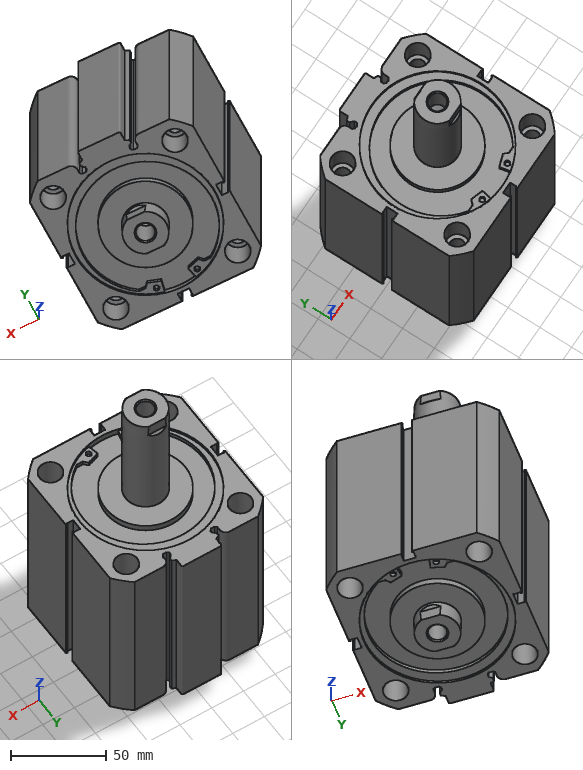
import cadquery as cq
import math

housing_width = 96.5
housing_depth = 102.0
housing_length = 113.0
rod_top_reach = 70.0
rod_bottom_reach = 10.5
corner_circle_diameter = 124.0

rail_width = 25.2
rail_edge_radius = 1.0
groove_floor_y = 41.2
groove_floor_bevel = 1.0
groove_throat_x = 13.0
throat_top_y = 43.7
groove_hook_x = 14.9
hook_bottom_y = 45.5
hook_top_y = 47.2
groove_outer_x = 17.2
groove_flare_radius = 3.9

slot_depth = 4.8
slot_mouth_width = 5.2
slot_inner_width = 6.8
slot_lip = 1.0
slot_mouth_chamfer = 0.4

bore_diameter = 82.0
mount_hole_spacing = 72.0
mount_hole_diameter = 8.7
counterbore_diameter = 13.5
counterbore_depth = 19.4

ring_recess = 1.5
ring_thickness = 2.5
ring_inner_diameter = 75.5
ring_inner_offset = 2.3
lug_hole_x = 12.0
lug_hole_y = -36.0
lug_hole_diameter = 3.0
lug_inner_y = -33.5
lug_tip_x = 15.0
lug_tip_y = -31.2
lug_root_x = 17.2
lug_outer_x = 22.3
lug_gap_x = 8.0
lug_gap_outer_x = 9.5

cover_thickness = 15.5
boss_diameter = 50.0

rod_diameter = 25.0
rod_end_diameter = 24.4
rod_taper_length = 8.3
flat_distance = 22.0
flat_length = 7.2
flat_runout = 2.0
tap_hole_diameter = 10.0
tap_hole_depth = 19.4
tap_chamfer = 0.8
drill_point_angle = 118.0

half_width = housing_width / 2
rail_top_y = housing_depth - half_width
rod_length = rod_bottom_reach + housing_length + rod_top_reach
cover_depth = ring_recess + ring_thickness


def mirrored_end(body):
    """The same shape at the lower end of the housing."""
    return body.mirror("XY", (0, 0, housing_length / 2))


def block():
    """Square block whose corners are rounded by one large circle about the axis."""
    square = cq.Workplane("XY").rect(housing_width, housing_width).extrude(housing_length)
    return square.intersect(cq.Workplane("XY").circle(corner_circle_diameter / 2).extrude(housing_length))


def rail():
    return (
        cq.Workplane("XY")
        .center(0, rail_top_y / 2)
        .rect(rail_width, rail_top_y)
        .extrude(housing_length)
        .edges("|Z and >Y")
        .fillet(rail_edge_radius)
    )


def rail_groove():
    """Groove on the +X side of the rail: a hooked inner wall and a flared outer wall."""
    floor_left = groove_throat_x + groove_floor_bevel
    floor_right = groove_outer_x - groove_floor_bevel
    bevel_top_y = groove_floor_y + groove_floor_bevel
    return (
        cq.Workplane("XY")
        .moveTo(rail_width / 2, rail_top_y)
        .lineTo(rail_width / 2, half_width)
        .lineTo(groove_hook_x, hook_top_y)
        .lineTo(groove_hook_x, hook_bottom_y)
        .lineTo(groove_throat_x, throat_top_y)
        .lineTo(groove_throat_x, bevel_top_y)
        .lineTo(floor_left, groove_floor_y)
        .lineTo(floor_right, groove_floor_y)
        .lineTo(groove_outer_x, bevel_top_y)
        .lineTo(groove_outer_x, half_width - groove_flare_radius)
        .radiusArc((groove_outer_x + groove_flare_radius, half_width), groove_flare_radius)
        .lineTo(groove_outer_x + groove_flare_radius, rail_top_y)
        .close()
        .extrude(housing_length)
    )


def t_slot():
    """T-slot in the -Y side."""
    half_mouth = slot_mouth_width / 2
    half_flare = half_mouth + slot_mouth_chamfer
    mouth = (
        cq.Workplane("XY")
        .polyline([
            (-half_flare, -half_width),
            (half_flare, -half_width),
            (half_mouth, -half_width + slot_mouth_chamfer),
            (half_mouth, -half_width + slot_depth),
            (-half_mouth, -half_width + slot_depth),
            (-half_mouth, -half_width + slot_mouth_chamfer),
        ])
        .close()
        .extrude(housing_length)
    )
    inner_depth = slot_depth - slot_lip
    inner = (
        cq.Workplane("XY")
        .center(0, -half_width + slot_lip + inner_depth / 2)
        .rect(slot_inner_width, inner_depth)
        .extrude(housing_length)
    )
    return mouth.union(inner)


def mounting_holes():
    holes = (
        cq.Workplane("XY")
        .rect(mount_hole_spacing, mount_hole_spacing, forConstruction=True)
        .vertices()
        .circle(mount_hole_diameter / 2)
        .extrude(housing_length)
    )
    counterbores = (
        cq.Workplane("XY", origin=(0, 0, housing_length))
        .rect(mount_hole_spacing, mount_hole_spacing, forConstruction=True)
        .vertices()
        .circle(counterbore_diameter / 2)
        .extrude(-counterbore_depth)
    )
    return holes.union(counterbores).union(mirrored_end(counterbores))


def make_housing():
    body = block().union(rail())
    body = body.cut(rail_groove()).cut(rail_groove().mirror("YZ"))
    for angle in (-90, 0, 90):
        body = body.cut(t_slot().rotate((0, 0, 0), (0, 0, 1), angle))
    bore = cq.Workplane("XY").circle(bore_diameter / 2).extrude(housing_length)
    return body.cut(bore).cut(mounting_holes())


def lug():
    """Lug on the +X side of the ring gap, reaching past the bore so that it can be trimmed."""
    outer_y = -bore_diameter / 2
    return (
        cq.Workplane("XY")
        .polyline([
            (lug_gap_x, lug_inner_y),
            (lug_tip_x, lug_tip_y),
            (lug_root_x, lug_inner_y),
            (lug_outer_x, lug_inner_y),
            (lug_outer_x, outer_y),
            (lug_gap_outer_x, outer_y),
        ])
        .close()
        .extrude(ring_thickness)
    )


def make_ring():
    """Open retaining ring with two drilled lugs, at the upper end of the housing."""
    disc = cq.Workplane("XY").circle(bore_diameter / 2).extrude(ring_thickness)
    inner = (
        cq.Workplane("XY")
        .center(0, -ring_inner_offset)
        .circle(ring_inner_diameter / 2)
        .extrude(ring_thickness)
    )
    gap = (
        cq.Workplane("XY")
        .center(0, -bore_diameter / 4)
        .rect(2 * lug_gap_outer_x, bore_diameter / 2)
        .extrude(ring_thickness)
    )
    lugs = lug().union(lug().mirror("YZ")).intersect(disc)
    lug_holes = (
        cq.Workplane("XY")
        .pushPoints([(-lug_hole_x, lug_hole_y), (lug_hole_x, lug_hole_y)])
        .circle(lug_hole_diameter / 2)
        .extrude(ring_thickness)
    )
    ring = disc.cut(inner).cut(gap).union(lugs).cut(lug_holes)
    return ring.translate((0, 0, housing_length - cover_depth))


def make_cover():
    """Cover that fills the bore under the upper ring; its boss is flush with the housing end."""
    return (
        cq.Workplane("XY", origin=(0, 0, housing_length - cover_depth))
        .circle(bore_diameter / 2)
        .extrude(-cover_thickness)
        .faces(">Z")
        .workplane()
        .circle(boss_diameter / 2)
        .extrude(cover_depth)
        .faces(">Z")
        .workplane()
        .circle(rod_diameter / 2)
        .cutThruAll()
    )


def tapped_hole():
    """Tapped hole with a drill point, going down from Z = 0."""
    hole_radius = tap_hole_diameter / 2
    point_depth = hole_radius / math.tan(math.radians(drill_point_angle / 2))
    return (
        cq.Workplane("XZ")
        .polyline([
            (0, 0),
            (hole_radius + tap_chamfer, 0),
            (hole_radius, -tap_chamfer),
            (hole_radius, -tap_hole_depth),
            (0, -tap_hole_depth - point_depth),
        ])
        .close()
        .revolve(360, (0, 0), (0, 1))
    )


def wrench_flats():
    """The two blocks cut away to leave wrench flats, going down from Z = 0 and sloping out."""
    flat_y = flat_distance / 2
    outer_y = flat_y + flat_runout
    side_cut = (
        cq.Workplane("YZ")
        .polyline([
            (flat_y, 0),
            (flat_y, -flat_length),
            (outer_y, -flat_length - flat_runout),
            (outer_y, 0),
        ])
        .close()
        .extrude(rod_diameter / 2, both=True)
    )
    return side_cut.union(side_cut.mirror("XZ"))


def make_rod():
    """Through rod with a tapered, tapped and flatted end at the top and at the bottom."""
    end_radius = rod_end_diameter / 2
    full_radius = rod_diameter / 2
    rod = (
        cq.Workplane("XZ")
        .polyline([
            (0, 0),
            (0, -rod_length),
            (end_radius, -rod_length),
            (full_radius, -rod_length + rod_taper_length),
            (full_radius, -rod_taper_length),
            (end_radius, 0),
        ])
        .close()
        .revolve(360, (0, 0), (0, 1))
    )
    for cutter in (tapped_hole(), wrench_flats()):
        rod = rod.cut(cutter).cut(cutter.mirror("XY", (0, 0, -rod_length / 2)))
    return rod.translate((0, 0, housing_length + rod_top_reach))


housing = make_housing()
rod = make_rod()
covers = []
rings = []
for is_lower in (False, True):
    cover = make_cover()
    ring = make_ring()
    covers.append(mirrored_end(cover) if is_lower else cover)
    rings.append(mirrored_end(ring) if is_lower else ring)

result = cq.Compound.makeCompound([
    housing.val(),
    rod.val(),
    *[cover.val() for cover in covers],
    *[ring.val() for ring in rings],
])